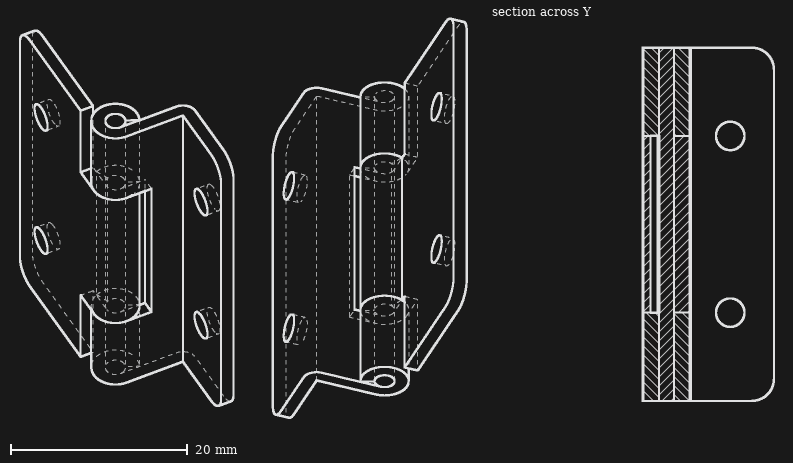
import cadquery as cq
import math

height = 40.0
sheet = 1.6
pin_diameter = 2.3
front_reach = 18.25
back_reach = 12.15
total_depth = 11.5
corner_radius = 2.5
hole_diameter = 3.2
front_hole_inset = 5.25
back_hole_inset = 4.95
front_notch_gap = 0.5
back_window_gap = 0.45
curl_end_angle = 66.5

pin_radius = pin_diameter / 2
knuckle_radius = pin_radius + sheet
back_offset = total_depth - knuckle_radius
knuckle_bottom = height / 4
knuckle_top = height - knuckle_bottom
hole_heights = (knuckle_bottom, knuckle_top)
overshoot = 0.4


def polar(radius, angle):
    """Point at a radius and an angle in degrees around the pin axis."""
    return radius * math.cos(math.radians(angle)), radius * math.sin(math.radians(angle))


def box(x0, x1, y0, y1, z0, z1):
    """Block between pairs of coordinates."""
    return cq.Workplane("XY").box(x1 - x0, y1 - y0, z1 - z0, centered=False).translate((x0, y0, z0))


def make_curled_leaf(length):
    """Sheet along +Y, tangent to the pin on its +X side and curled clockwise around it."""
    curl_middle = (curl_end_angle - 360) / 2
    return (
        cq.Workplane("XY")
        .moveTo(pin_radius, length)
        .lineTo(knuckle_radius, length)
        .lineTo(knuckle_radius, 0)
        .threePointArc(polar(knuckle_radius, curl_middle), polar(knuckle_radius, curl_end_angle))
        .lineTo(*polar(pin_radius, curl_end_angle))
        .threePointArc(polar(pin_radius, curl_middle), (pin_radius, 0))
        .close()
        .extrude(height)
    )


def cut_holes(leaf, x):
    """Pair of screw holes through the leaf in Y."""
    centers = [(x, z) for z in hole_heights]
    half_length = back_offset + overshoot
    drills = (
        cq.Workplane("XZ")
        .pushPoints(centers)
        .circle(hole_diameter / 2)
        .extrude(half_length, both=True)
    )
    return leaf.cut(drills)


def make_front_leaf():
    """Flat leaf with the middle knuckle."""
    leaf = make_curled_leaf(front_reach).mirror("XZ").rotate((0, 0, 0), (0, 0, 1), -90)
    leaf = leaf.edges("|Y and <X").fillet(corner_radius)
    notch_left = -knuckle_radius - front_notch_gap
    far = knuckle_radius + overshoot
    for z0, z1 in ((-overshoot, knuckle_bottom), (knuckle_top, height + overshoot)):
        leaf = leaf.cut(box(notch_left, far, -far, far, z0, z1))
    return cut_holes(leaf, front_hole_inset - front_reach)


def make_back_leaf():
    """Offset leaf with a web, a mounting flange and the two end knuckles."""
    flange_front = back_offset - sheet
    web = make_curled_leaf(flange_front)
    flange = box(knuckle_radius, back_reach, flange_front, back_offset, 0, height)
    flange = flange.edges("|Y and >X").fillet(corner_radius)
    bend = (
        cq.Workplane("XY")
        .moveTo(knuckle_radius, flange_front)
        .lineTo(pin_radius, flange_front)
        .radiusArc((knuckle_radius, back_offset), sheet)
        .close()
        .extrude(height)
    )
    leaf = web.union(bend).union(flange)
    far = knuckle_radius + overshoot
    window_rear = knuckle_radius + back_window_gap
    leaf = leaf.cut(box(-far, far, -far, window_rear, knuckle_bottom, knuckle_top))
    return cut_holes(leaf, back_reach - back_hole_inset)


def make_pin():
    """Plain pin, flush with both ends of the hinge."""
    return cq.Workplane("XY").circle(pin_radius).extrude(height)


front_leaf = make_front_leaf()
back_leaf = make_back_leaf()
pin = make_pin()

result = cq.Compound.makeCompound([front_leaf.solids().val(), back_leaf.solids().val(), pin.val()])